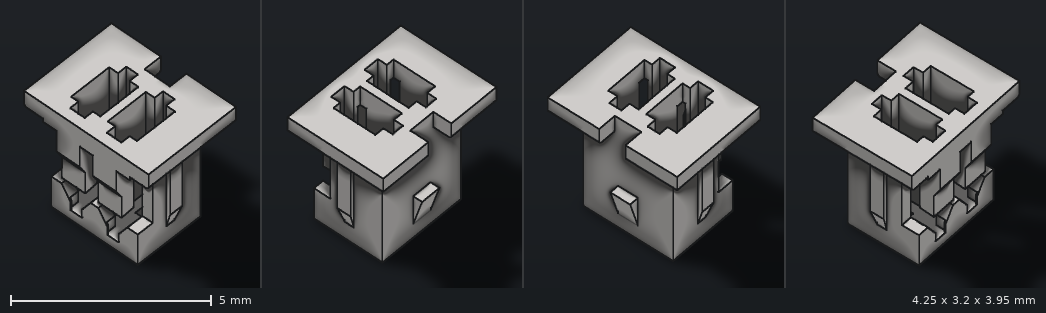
import cadquery as cq


flange_width = 4.25
flange_depth = 3.2
total_height = 3.95
flange_thickness = 0.55
flange_bottom = total_height - flange_thickness
flange_edge_radius = 0.1
notch_width = 0.863

body_width = 2.95
body_front = 0.85
body_back = 2.595
neck_bottom = 3.285
ledge_front = 0.3
ledge_top = 1.095

cell_pitch = 1.25
cell_centers = (-cell_pitch / 2, cell_pitch / 2)
cell_floor = 0.35
chamber_width = 0.995
chamber_front = 0.65
chamber_back = 2.045
groove_width = 0.497
groove_front = 0.35
slot_width = 0.395
slot_back = 2.35
floor_opening_front = 1.345
funnel_bottom = 0.65

arm_width = 0.795
arm_spacing = 1.235
arm_centers = (-arm_spacing / 2, arm_spacing / 2)
arm_tip_front = 0.2
arm_slope_top = 2.55
arm_slope_bottom = 2.2
arm_tip_front_z = 1.45
arm_tip_back_z = 1.49

rib_height = 0.2
rib_center_y = 1.49
rib_outer_width = 0.445
rib_root_width = 0.3
rib_taper_top = 1.2
rib_taper_bottom = 0.6

latch_width = 0.65
latch_tip_y = 2.9
latch_top = 1.5
latch_bottom = 0.5


def box(x_center, width, y_front, y_back, z_bottom, z_top):
    """Block centred on x_center and given by its limits in Y and Z."""
    size_y = y_back - y_front
    size_z = z_top - z_bottom
    block = cq.Workplane("XY").box(width, size_y, size_z, centered=(True, False, False))
    return block.translate((x_center, y_front, z_bottom))


def side_prism(x_center, width, yz_points):
    """Prism of a YZ outline, centred on x_center."""
    prism = cq.Workplane("YZ").polyline(yz_points).close().extrude(width / 2, both=True)
    return prism.translate((x_center, 0, 0))


def make_flange():
    """Top plate with rounded lower side and rear edges and a rear notch."""
    plate = box(0, flange_width, 0, flange_depth, flange_bottom, total_height)
    plate = plate.faces("<Z").edges("<X or >X or >Y").fillet(flange_edge_radius)
    return plate.cut(box(0, notch_width, body_back, flange_depth, flange_bottom, total_height))


def make_body():
    """Main block with the neck under the flange and the ledge at the foot."""
    block = box(0, body_width, body_front, body_back, 0, flange_bottom)
    neck = box(0, body_width, 0, body_front, neck_bottom, flange_bottom)
    ledge = box(0, body_width, ledge_front, body_front, 0, ledge_top)
    return block.union(neck).union(ledge)


def make_arm(x_center):
    """Arm hanging from the neck, thinner towards its slanted tip."""
    outline = [
        (0, neck_bottom),
        (0, arm_slope_top),
        (arm_tip_front, arm_slope_bottom),
        (arm_tip_front, arm_tip_front_z),
        (chamber_front, arm_tip_back_z),
        (chamber_front, neck_bottom),
    ]
    return side_prism(x_center, arm_width, outline)


def make_cell(x_center):
    """Space of one contact: chamber, grooves, floor opening and entry funnel."""
    chamber = box(x_center, chamber_width, chamber_front, chamber_back, cell_floor, total_height)
    front_groove = box(x_center, groove_width, groove_front, chamber_front, cell_floor, total_height)
    back_slot = box(x_center, slot_width, floor_opening_front, slot_back, 0, total_height)
    ledge_slot = box(x_center, slot_width, ledge_front, chamber_front, cell_floor, ledge_top)
    funnel = (
        cq.Workplane("XZ", origin=(x_center, ledge_front, 0))
        .moveTo(-chamber_width / 2, ledge_top)
        .lineTo(-slot_width / 2, funnel_bottom)
        .lineTo(slot_width / 2, funnel_bottom)
        .lineTo(chamber_width / 2, ledge_top)
        .close()
        .extrude(ledge_front - chamber_front)
    )
    return chamber.union(front_groove).union(back_slot).union(ledge_slot).union(funnel)


def make_ribs():
    """Dovetail rib on each side, its lower end cut back to the body."""
    root_x = body_width / 2
    outer_x = root_x + rib_height
    dovetail = (
        cq.Workplane("XY", origin=(0, 0, rib_taper_bottom))
        .moveTo(root_x, rib_center_y - rib_root_width / 2)
        .lineTo(outer_x, rib_center_y - rib_outer_width / 2)
        .lineTo(outer_x, rib_center_y + rib_outer_width / 2)
        .lineTo(root_x, rib_center_y + rib_root_width / 2)
        .close()
        .extrude(flange_bottom - rib_taper_bottom)
    )
    taper = (
        cq.Workplane("XZ", origin=(0, rib_center_y, 0))
        .moveTo(root_x, rib_taper_bottom)
        .lineTo(outer_x, rib_taper_top)
        .lineTo(outer_x, rib_taper_bottom)
        .close()
        .extrude(rib_outer_width, both=True)
    )
    rib = dovetail.cut(taper)
    return rib.union(rib.mirror("YZ"))


def make_latch():
    """Wedge on the rear face that catches on its flat top."""
    return side_prism(0, latch_width, [
        (body_back, latch_bottom),
        (latch_tip_y, latch_top),
        (body_back, latch_top),
    ])


result = make_flange().union(make_body()).union(make_ribs()).union(make_latch())
for arm_x in arm_centers:
    result = result.union(make_arm(arm_x))
for cell_x in cell_centers:
    result = result.cut(make_cell(cell_x))